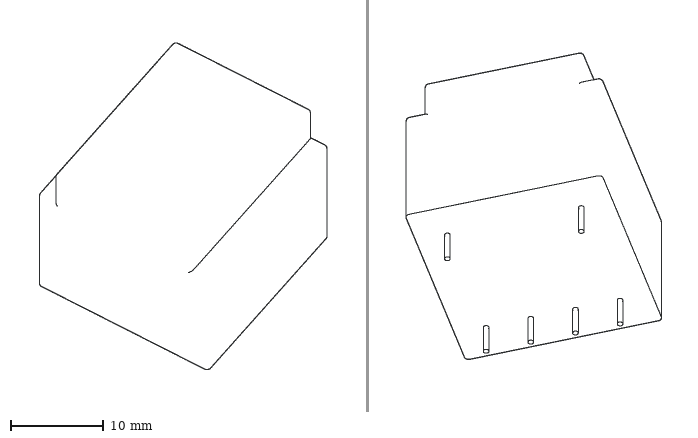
import cadquery as cq

HOUSING_WIDTH = 22.3
HOUSING_DEPTH = 23.5
HOUSING_HEIGHT = 19.5
RAISED_WIDTH = 18.0
SHOULDER_DROP = 4.5
EDGE_RADIUS = 0.5

PIN_DIAMETER = 0.6
PIN_LENGTH = 3.6
PIN_PITCH = 5.05
ROW_SPACING = 15.0
PINS_IN_FRONT_ROW = 4


def rounded_block(width, height):
    """Block standing on Z = 0 with every edge rounded except those of the underside."""
    block = cq.Workplane("XY").box(width, HOUSING_DEPTH, height, centered=(True, True, False))
    return block.edges("|Z or >Z").fillet(EDGE_RADIUS)


def make_housing():
    """Both blocks reach the underside, so their rounded edges meet in mitres at the shoulders."""
    base = rounded_block(HOUSING_WIDTH, HOUSING_HEIGHT - SHOULDER_DROP)
    raised_middle = rounded_block(RAISED_WIDTH, HOUSING_HEIGHT)
    return base.union(raised_middle).solids()


def make_pin(x, y):
    """Round pin hanging from the underside of the housing."""
    return cq.Workplane("XY").center(x, y).circle(PIN_DIAMETER / 2).extrude(-PIN_LENGTH)


def pin_places():
    """A full row of pins at the front and only its two end places at the back."""
    row_end = PIN_PITCH * (PINS_IN_FRONT_ROW - 1) / 2
    front_y = -ROW_SPACING / 2
    front_row = [(i * PIN_PITCH - row_end, front_y) for i in range(PINS_IN_FRONT_ROW)]
    back_row = [(x, -front_y) for x in (-row_end, row_end)]
    return front_row + back_row


housing = make_housing()
pins = [make_pin(x, y) for x, y in pin_places()]

result = cq.Compound.makeCompound([housing.val(), *[pin.val() for pin in pins]])